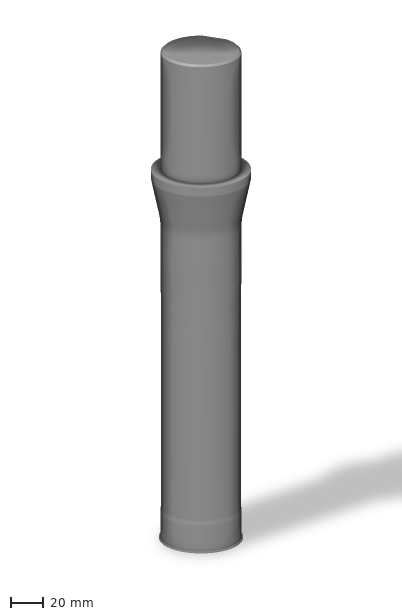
import cadquery as cq
import math

TOTAL_HEIGHT = 329.0
TIP_TOP = 2.0
STEP_START = 19.5
STEP_END = 22.5
NECK_BOTTOM = 127.0
BAND_BOTTOM = 207.3
BAND_TOP = 212.2
COLLAR_BOTTOM = 243.0
COLLAR_TOP = 249.0

COLLAR_DIAMETER = 62.5
SHANK_DIAMETER = 50.3
BAND_DIAMETER = 50.5
BODY_DIAMETER = 50.0
TIP_DIAMETER = 52.3

FLARE_BLEND_HEIGHT = 6.3
NECK_TOP_BLEND_HEIGHT = 13.0
NECK_BOTTOM_BLEND_HEIGHT = 13.0
BLEND_ITERATIONS = 50

TIP_CONE_HEIGHT = 1.0
SHANK_CHAMFER = 1.3
FLAT_OFFSET = 22.5
FLAT_RUNOUT_BOTTOM = 252.0

BAND_RADIUS = BAND_DIAMETER / 2
BODY_RADIUS = BODY_DIAMETER / 2
SHANK_RADIUS = SHANK_DIAMETER / 2
COLLAR_RADIUS = COLLAR_DIAMETER / 2


def blend_end_offset(run, rise, blend_rise):
    """Radial offset of the end of an arc that blends a vertical line into a cone.

    The cone ends at (run, rise) from the start of the arc. The chord of the arc leans
    at half the angle of the cone, so the offset is found by iteration.
    """
    offset = 0.0
    for _ in range(BLEND_ITERATIONS):
        line_angle = math.atan2(run - offset, rise - blend_rise)
        offset = blend_rise * math.tan(line_angle / 2)
    return offset


def make_holder():
    """Turned holder with body, tapered neck, flared collar and flatted shank."""
    flare_offset = blend_end_offset(
        COLLAR_RADIUS - BAND_RADIUS, COLLAR_BOTTOM - BAND_TOP, FLARE_BLEND_HEIGHT
    )
    neck_top = BAND_BOTTOM - NECK_TOP_BLEND_HEIGHT
    neck_bottom = NECK_BOTTOM + NECK_BOTTOM_BLEND_HEIGHT
    neck_taper = (BAND_RADIUS - BODY_RADIUS) / (
        neck_top - neck_bottom + (NECK_TOP_BLEND_HEIGHT + NECK_BOTTOM_BLEND_HEIGHT) / 2
    )
    neck_top_radius = BAND_RADIUS - neck_taper * NECK_TOP_BLEND_HEIGHT / 2
    neck_bottom_radius = BODY_RADIUS + neck_taper * NECK_BOTTOM_BLEND_HEIGHT / 2

    holder = (
        cq.Workplane("XZ")
        .moveTo(0, TIP_TOP)
        .lineTo(BAND_RADIUS, TIP_TOP)
        .lineTo(BAND_RADIUS, STEP_START)
        .lineTo(BODY_RADIUS, STEP_END)
        .lineTo(BODY_RADIUS, NECK_BOTTOM)
        .tangentArcPoint((neck_bottom_radius, neck_bottom), relative=False)
        .lineTo(neck_top_radius, neck_top)
        .tangentArcPoint((BAND_RADIUS, BAND_BOTTOM), relative=False)
        .lineTo(BAND_RADIUS, BAND_TOP)
        .tangentArcPoint((BAND_RADIUS + flare_offset, BAND_TOP + FLARE_BLEND_HEIGHT), relative=False)
        .lineTo(COLLAR_RADIUS, COLLAR_BOTTOM)
        .lineTo(COLLAR_RADIUS, COLLAR_TOP)
        .lineTo(SHANK_RADIUS, COLLAR_TOP)
        .lineTo(SHANK_RADIUS, TOTAL_HEIGHT - SHANK_CHAMFER)
        .lineTo(SHANK_RADIUS - SHANK_CHAMFER, TOTAL_HEIGHT)
        .lineTo(0, TOTAL_HEIGHT)
        .close()
        .revolve(360, (0, 0), (0, 1))
    )
    return holder.cut(make_flat_cutter())


def make_flat_cutter():
    """Block that leaves the shank flat, with its 45 degree lower end."""
    flat_depth = SHANK_RADIUS - FLAT_OFFSET
    return (
        cq.Workplane("YZ")
        .moveTo(SHANK_RADIUS, FLAT_RUNOUT_BOTTOM)
        .lineTo(SHANK_RADIUS, TOTAL_HEIGHT)
        .lineTo(FLAT_OFFSET, TOTAL_HEIGHT)
        .lineTo(FLAT_OFFSET, FLAT_RUNOUT_BOTTOM + flat_depth)
        .close()
        .extrude(SHANK_RADIUS, both=True)
    )


def make_tip():
    """Thin disc under the holder, wider than its body and ending in a shallow cone."""
    return (
        cq.Workplane("XZ")
        .lineTo(TIP_DIAMETER / 2, TIP_CONE_HEIGHT)
        .lineTo(TIP_DIAMETER / 2, TIP_TOP)
        .lineTo(0, TIP_TOP)
        .close()
        .revolve(360, (0, 0), (0, 1))
    )


holder = make_holder()
tip = make_tip()

result = cq.Compound.makeCompound([holder.val(), tip.val()])